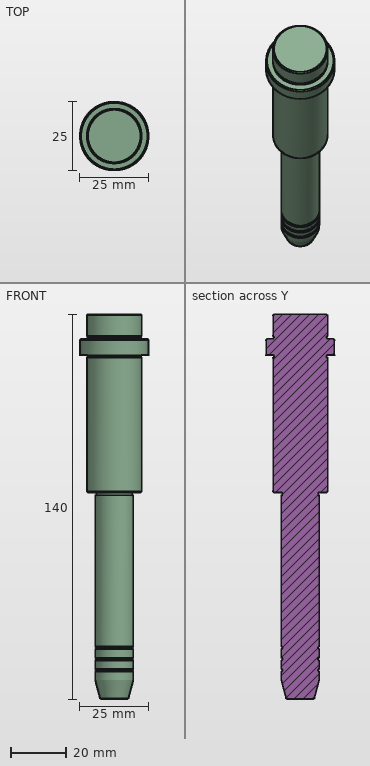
import cadquery as cq
import math

length = 140.0
collar_radius = 25.0 / 2
body_radius = 20.0 / 2
shank_radius = 14.0 / 2

collar_top = 131.0
collar_bottom = 125.0
body_bottom = 75.0
taper_height = 7.0

edge_chamfer = 0.5
tip_chamfer = 0.35
undercut_width = 1.0
undercut_depth = 0.4
taper_angle = 15.0
groove_count = 3
first_groove_height = 10.5
groove_pitch = 4.0
groove_width = 1.1


def cylinder(radius, bottom, top):
    return cq.Workplane("XY").workplane(offset=bottom).circle(radius).extrude(top - bottom)


def square_groove(radius, bottom, width, depth):
    """Square-walled ring cutter, open outwards from the given surface radius."""
    outer = cylinder(collar_radius, bottom, bottom + width)
    return outer.cut(cylinder(radius - depth, bottom, bottom + width))


def vee_groove(radius, bottom, width):
    """Right-angled V ring cutter with its mouth on the given surface radius."""
    half_width = width / 2
    mouth = [(radius, bottom), (radius - half_width, bottom + half_width), (radius, bottom + width)]
    return cq.Workplane("XZ").polyline(mouth).close().revolve(360, (0, 0), (0, 1))


def make_tapered_shank():
    tip_radius = shank_radius - taper_height * math.tan(math.radians(taper_angle))
    profile = [
        (0, 0),
        (tip_radius, 0),
        (shank_radius, taper_height),
        (shank_radius, body_bottom),
        (0, body_bottom),
    ]
    shank = cq.Workplane("XZ").polyline(profile).close().revolve(360, (0, 0), (0, 1))
    return shank.faces("<Z").chamfer(tip_chamfer)


def make_body():
    return cylinder(body_radius, body_bottom, length).faces("<Z or >Z").chamfer(edge_chamfer)


def make_collar():
    return cylinder(collar_radius, collar_bottom, collar_top).faces(">Z").chamfer(edge_chamfer)


result = make_tapered_shank().union(make_body()).union(make_collar())

for bottom in (collar_top, collar_bottom - undercut_width):
    result = result.cut(vee_groove(body_radius, bottom, undercut_width))

shank_undercut_bottom = body_bottom - undercut_width
result = result.cut(square_groove(shank_radius, shank_undercut_bottom, undercut_width, undercut_depth))

for index in range(groove_count):
    groove_bottom = first_groove_height + index * groove_pitch - groove_width / 2
    result = result.cut(vee_groove(shank_radius, groove_bottom, groove_width))